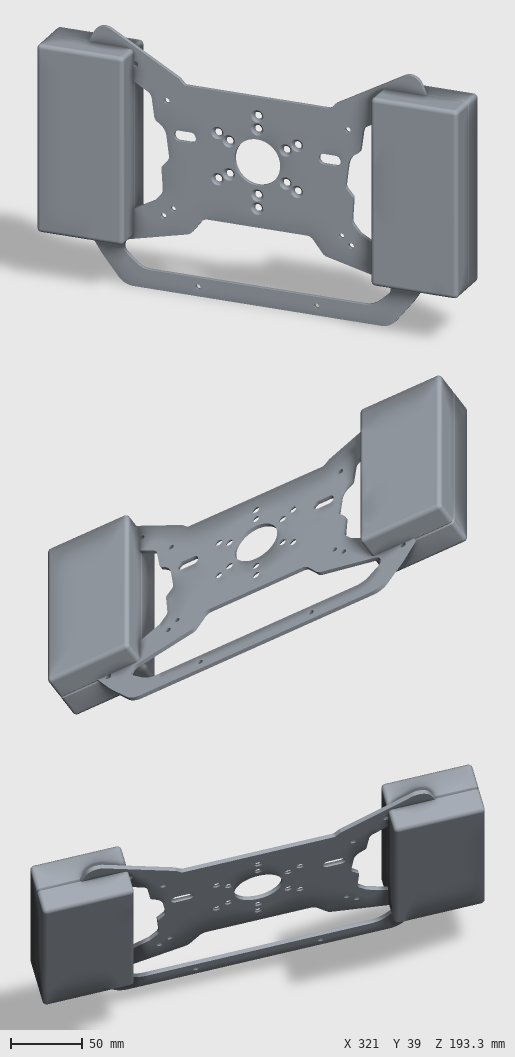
import cadquery as cq
import math


plate_thickness = 3.0
bore_diameter = 35.0
edge_height = 49.5
bottom_z = -108.8
rail_top_z = -94.5
flank_x = 132.0
grip_bar_width = 14.8

ring_radii = (25.0, 35.0)
ring_hole_count = 6
ring_start_angle = 30
screw_diameter = 5.5
countersink_diameter = 9.3
countersink_angle = 90

slot_length = 16.7
slot_width = 8.0
slot_x = 55.2
slot_z = 10.5

small_holes = [
    (93.0, 59.7, 4.5),
    (69.0, 35.5, 4.2),
    (64.2, -45.5, 4.0),
    (71.5, -52.0, 4.2),
    (120.0, -73.5, 4.5),
    (45.2, -101.7, 4.0),
]

overall_width = 321
cover_width = 66.0
cover_top_z = 71.0
cover_bottom_z = -71.5
overall_depth = 39.0
seam_offset = 1.0
front_cover_depth = overall_depth / 2 + seam_offset
back_cover_depth = overall_depth / 2 - seam_offset
cover_fillet = 3.08
seam_chamfer = 1.0

outer_corners = [
    (55.5, edge_height, 3.2),
    (59.7, 54.0, 1.5),
    (120.5, 88.2, 9.3),
    (flank_x, 63.5, 9.5),
    (flank_x, -67.0, 9.5),
    (118.7, -87.3, 32),
    (101.5, bottom_z, 14.5),
]
lower_window_corners = [
    (40.7, -edge_height, 6.5),
    (51.0, -62.5, 6.5),
    (108.5, -76.5, 6.0),
    (88.0, rail_top_z, 16),
]
window_outer_x = flank_x - grip_bar_width
side_window_corners = [
    (window_outer_x, 60.0, 3.2),
    (81.0, 38.8, 6.5),
    (78.3, 20.0, 5.0),
    (70.0, 14.8, 12.8),
    (67.0, -8.0, 4.8),
    (73.0, -15.0, 2.5),
    (72.0, -34.0, 6.5),
    (78.3, -41.7, 6.5),
    (window_outer_x, -62.5, 3.2),
]


def mirrored(corners):
    """The same corners on the -X half, in reverse order."""
    return [(-x, z, radius) for x, z, radius in reversed(corners)]


def rounded_corner(before, corner, after):
    """Start, middle and end of the arc that rounds a corner between its two neighbours."""
    x, z, radius = corner
    angle_in = math.atan2(before[1] - z, before[0] - x)
    angle_out = math.atan2(after[1] - z, after[0] - x)
    half_angle = math.acos(math.cos(angle_out - angle_in)) / 2
    tangent_length = radius / math.tan(half_angle)
    start = (x + tangent_length * math.cos(angle_in), z + tangent_length * math.sin(angle_in))
    end = (x + tangent_length * math.cos(angle_out), z + tangent_length * math.sin(angle_out))
    middle_reach = radius / math.sin(half_angle) - radius
    bisector_x = math.cos(angle_in) + math.cos(angle_out)
    bisector_z = math.sin(angle_in) + math.sin(angle_out)
    bisector_length = math.hypot(bisector_x, bisector_z)
    middle = (
        x + middle_reach * bisector_x / bisector_length,
        z + middle_reach * bisector_z / bisector_length,
    )
    return start, middle, end


def plate_workplane():
    """XZ sketch plane on the front (-Y) face of the plate."""
    return cq.Workplane("XZ", origin=(0, -plate_thickness / 2, 0))


def rounded_slab(corners):
    """Slab of plate thickness with a closed outline of rounded corners."""
    count = len(corners)
    arcs = [
        rounded_corner(corners[i - 1], corners[i], corners[(i + 1) % count])
        for i in range(count)
    ]
    sketch = plate_workplane().moveTo(*arcs[0][0])
    for i, (start, middle, end) in enumerate(arcs):
        if i > 0:
            sketch = sketch.lineTo(*start)
        sketch = sketch.threePointArc(middle, end)
    return sketch.close().extrude(-plate_thickness)


def make_plate_blank():
    """Plate with its outline and three windows, without holes."""
    blank = rounded_slab(outer_corners + mirrored(outer_corners))
    blank = blank.cut(rounded_slab(lower_window_corners + mirrored(lower_window_corners)))
    blank = blank.cut(rounded_slab(side_window_corners))
    return blank.cut(rounded_slab(mirrored(side_window_corners)))


def make_plate(blank):
    """Blank with the bore, countersunk rings, slots and small holes."""
    drill_depth = -plate_thickness
    plate = blank.cut(plate_workplane().circle(bore_diameter / 2).extrude(drill_depth))

    cable_slots = (
        plate_workplane()
        .pushPoints([(-slot_x, slot_z), (slot_x, slot_z)])
        .slot2D(slot_length, slot_width)
        .extrude(drill_depth)
    )
    plate = plate.cut(cable_slots)

    for x, z, diameter in small_holes:
        pair = plate_workplane().pushPoints([(-x, z), (x, z)]).circle(diameter / 2)
        plate = plate.cut(pair.extrude(drill_depth))

    for radius in ring_radii:
        plate = (
            plate.copyWorkplane(plate_workplane())
            .polarArray(radius, ring_start_angle, 360, ring_hole_count)
            .cskHole(screw_diameter, countersink_diameter, countersink_angle)
        )
    return plate


def make_cover(side, outward, depth, plate_blank):
    """One half of a grip: side is -1 or 1 along X, outward is -1 or 1 along Y from the seam."""
    height = cover_top_z - cover_bottom_z
    centre = (
        side * (overall_width - cover_width) / 2,
        outward * depth / 2,
        (cover_top_z + cover_bottom_z) / 2,
    )
    outer_face, seam_face = ("<Y", ">Y") if outward < 0 else (">Y", "<Y")
    cover = (
        cq.Workplane("XY", origin=centre)
        .box(cover_width, depth, height)
        .edges("|Y")
        .fillet(cover_fillet)
        .faces(outer_face)
        .edges()
        .fillet(cover_fillet)
        .faces(seam_face)
        .chamfer(seam_chamfer)
    )
    return cover.cut(plate_blank)


plate_blank = make_plate_blank()
plate = make_plate(plate_blank)

covers = []
for side in (-1, 1):
    for outward, depth in ((-1, front_cover_depth), (1, back_cover_depth)):
        covers.append(make_cover(side, outward, depth, plate_blank))

cover_solids = [cover.solids().val() for cover in covers]
result = cq.Compound.makeCompound([plate.solids().val(), *cover_solids])